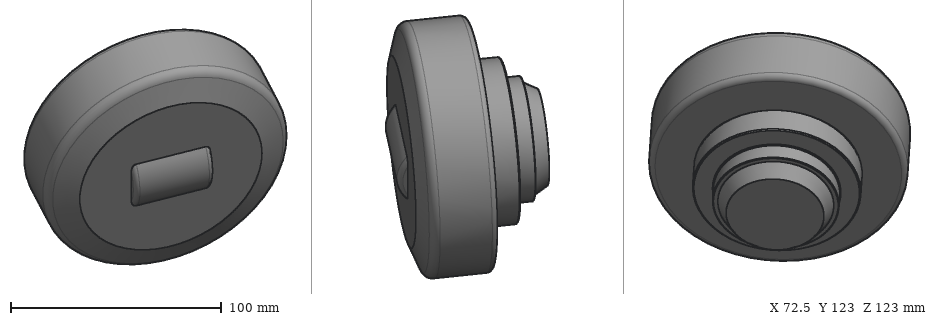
import cadquery as cq
import math

nose_tip_radius = 23.2
nose_base_radius = 27.5
nose_length = 7.5

ring_radius = 60.0 / 2
ring_end_x = 16.4
ring_chamfer = 0.4
ring_flare = 0.5

hub_radius = 80 / 2
hub_chamfer = 0.6

disc_radius = 123 / 2
disc_start_x = 30.4
disc_end_x = 67.5
disc_front_fillet = 3.0
disc_back_fillet = 5.0
disc_end_radius = 46.0
cone_angle = math.radians(20)

total_length = 72.5
key_width = 40.0
key_crown_radius = 21.4
key_fillet = 2.5


def make_body():
    """Revolve the stepped nose, ring, hub and disc about the X axis."""
    fillet_end_radius = disc_radius - disc_back_fillet * (1 - math.sin(cone_angle))
    fillet_end_x = disc_end_x - (fillet_end_radius - disc_end_radius) * math.tan(cone_angle)
    fillet_center_x = fillet_end_x - disc_back_fillet * math.cos(cone_angle)
    fillet_center_radius = disc_radius - disc_back_fillet
    mid_angle = (math.pi / 2 + cone_angle) / 2
    fillet_mid = (
        fillet_center_x + disc_back_fillet * math.cos(mid_angle),
        fillet_center_radius + disc_back_fillet * math.sin(mid_angle),
    )
    profile = (
        cq.Workplane("XY")
        .moveTo(0, 0)
        .lineTo(0, nose_tip_radius)
        .lineTo(nose_length, nose_base_radius)
        .lineTo(nose_length, ring_radius - ring_chamfer)
        .lineTo(nose_length + ring_chamfer, ring_radius)
        .lineTo(ring_end_x - ring_flare, ring_radius)
        .lineTo(ring_end_x, ring_radius + ring_flare)
        .lineTo(ring_end_x, hub_radius - hub_chamfer)
        .lineTo(ring_end_x + hub_chamfer, hub_radius)
        .lineTo(disc_start_x - hub_chamfer, hub_radius)
        .lineTo(disc_start_x, hub_radius - hub_chamfer)
        .lineTo(disc_start_x, disc_radius - disc_front_fillet)
        .radiusArc((disc_start_x + disc_front_fillet, disc_radius), disc_front_fillet)
        .lineTo(fillet_center_x, disc_radius)
        .threePointArc(fillet_mid, (fillet_end_x, fillet_end_radius))
        .lineTo(disc_end_x, disc_end_radius)
        .lineTo(disc_end_x, 0)
        .close()
    )
    return profile.revolve(360, (0, 0, 0), (1, 0, 0))


def make_key():
    """Round-edged cylinder along Y, trimmed to the part behind the disc front."""
    cylinder = (
        cq.Workplane("XZ")
        .center(total_length - key_crown_radius, 0)
        .circle(key_crown_radius)
        .extrude(key_width / 2, both=True)
        .edges("%CIRCLE")
        .fillet(key_fillet)
    )
    keep_start_x = (disc_start_x + disc_end_x) / 2
    keep = cq.Workplane("XY").box(
        total_length - keep_start_x,
        key_width,
        2 * key_crown_radius,
        centered=(False, True, True),
    ).translate((keep_start_x, 0, 0))
    return cylinder.intersect(keep)


result = make_body().union(make_key())